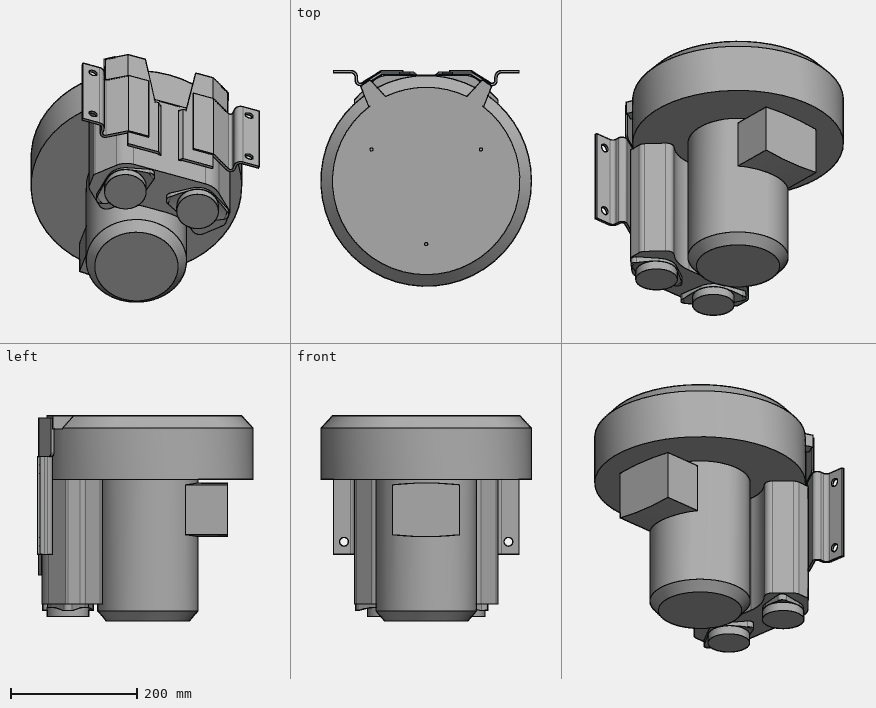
import cadquery as cq
import math

TOTAL_DEPTH = 325.4

COVER_RADIUS = 166.9
COVER_DEPTH = 101.0
COVER_CHAMFER_RADIAL = 18.5
COVER_CHAMFER_DEPTH = 20.0
COVER_HOLE_CIRCLE_RADIUS = 100.0
COVER_HOLE_DIAMETER = 5.0
COVER_HOLE_DEPTH = 10.0
COVER_HOLE_ANGLES = (30, 150, 270)

LUG_OUTLINE = [(64.0, 133.2), (88.7, 160.1), (103.9, 150.0), (90.9, 117.6)]
LUG_DEPTH = 21.0

MOTOR_RADIUS = 79.5
MOTOR_END_RADIUS = 66.0
MOTOR_TAPER_START = 309.5

BOX_HALF_WIDTH = 53.0
BOX_FRONT_Y = -126.5
BOX_MID_DEPTH = 149.2
BOX_CORNER_HALF_HEIGHT = 39.5
BOX_BOW = 3.0

HOUSING_HALF_WIDTH = 113.8
HOUSING_BACK_Y = 167.7
HOUSING_BOTTOM = 298.4
HOUSING_CORNER_REAR_Y = 128.8
HOUSING_CORNER_FRONT_Y = 102.5
HOUSING_REAR_ROUND_X = 60.0
HOUSING_TIP_LOWEST_Y = 71.7
HOUSING_INNER_ROUND_RADIUS = 70.0
HOUSING_REAR_ROUNDING = 5.0
HOUSING_FRONT_ROUNDING = 12.0
HOUSING_TIP_ROUNDING = 13.0

CAP_X = 60.2
CAP_Y = 126.5
CAP_RADIUS = 33.0
CAP_BOTTOM = 318.4
FLANGE_BOTTOM = 308.6
FLANGE_WAIST_RADIUS = 32.5
FLANGE_WAIST_BOTTOM = 304.0
FLANGE_CONE_RADIUS = 47.0
FLANGE_LOBE_CIRCLE_RADIUS = 43.7
FLANGE_LOBE_RADIUS = 8.0
LEFT_FLANGE_ANGLE = 0.0
RIGHT_FLANGE_ANGLE = -47.5

SHEET = 4.0
PLATE_BACK_Y = 172.9
PLATE_TOP = 3.5
PLATE_BOTTOM = 252.7
PLATE_TOP_INNER_X = 42.0
PLATE_WING_ROUNDING = 6.0
PLATE_FOOT_TOP = 115.0
PLATE_FOOT_BEND_X = 26.0
PLATE_FOOT_CORNER_X = 20.4
PLATE_FOOT_END_X = 11.8
PLATE_FOOT_END_Y = 165.5
BEND_X = 71.0
WING_END_X = 102.0
WING_SLOPE = 32.0

BRACKET_BACK_Y = 175.1
BRACKET_TOP = 65.0
BRACKET_BOTTOM = 219.8
BRACKET_INNER_X = 37.0
BRACKET_HALF_WIDTH = 147.2
BRACKET_STEP_X = 108.5
BRACKET_STEP_BEND_RADIUS = 7.0
BRACKET_VALLEY_BEND_RADIUS = 4.0
BRACKET_HOLE_X = 130.2
BRACKET_HOLE_DIAMETER = 13.5
BRACKET_HOLE_EDGE_DISTANCE = 20.0


def prism(outline, top, bottom):
    """Extrude a closed XY outline between two depths below the cover face."""
    return outline.extrude(bottom - top).translate((0, 0, -bottom))


def both_sides(solid):
    """The solid together with its mirror image across the YZ plane."""
    return solid.union(solid.mirror("YZ"))


def fillet_upright_edge(solid, corner, mid_depth, radius):
    """Round the edge parallel to Z that passes through the given XY corner."""
    nearest = cq.selectors.NearestToPointSelector((corner[0], corner[1], -mid_depth))
    return solid.edges("|Z").edges(nearest).fillet(radius)


def make_cover():
    profile = [
        (0, 0),
        (COVER_RADIUS - COVER_CHAMFER_RADIAL, 0),
        (COVER_RADIUS, -COVER_CHAMFER_DEPTH),
        (COVER_RADIUS, -COVER_DEPTH),
        (0, -COVER_DEPTH),
    ]
    cover = cq.Workplane("XZ").polyline(profile).close().revolve(360, (0, 0), (0, 1))
    lug = prism(cq.Workplane("XY").polyline(LUG_OUTLINE).close(), 0, LUG_DEPTH)
    return cover.union(both_sides(lug))


def cut_cover_holes(body):
    for angle in COVER_HOLE_ANGLES:
        x = COVER_HOLE_CIRCLE_RADIUS * math.cos(math.radians(angle))
        y = COVER_HOLE_CIRCLE_RADIUS * math.sin(math.radians(angle))
        hole = cq.Workplane("XY").center(x, y).circle(COVER_HOLE_DIAMETER / 2)
        body = body.cut(prism(hole, 0, COVER_HOLE_DEPTH))
    return body


def make_motor():
    profile = [
        (0, -COVER_DEPTH),
        (MOTOR_RADIUS, -COVER_DEPTH),
        (MOTOR_RADIUS, -MOTOR_TAPER_START),
        (MOTOR_END_RADIUS, -TOTAL_DEPTH),
        (0, -TOTAL_DEPTH),
    ]
    return cq.Workplane("XZ").polyline(profile).close().revolve(360, (0, 0), (0, 1))


def make_terminal_box():
    corner = BOX_CORNER_HALF_HEIGHT
    crown = corner + BOX_BOW
    box = (
        cq.Workplane("XZ")
        .moveTo(-BOX_HALF_WIDTH, corner)
        .threePointArc((0, crown), (BOX_HALF_WIDTH, corner))
        .lineTo(BOX_HALF_WIDTH, -corner)
        .threePointArc((0, -crown), (-BOX_HALF_WIDTH, -corner))
        .close()
        .extrude(-BOX_FRONT_Y)
    )
    return box.translate((0, 0, -BOX_MID_DEPTH))


def make_housing():
    half = HOUSING_HALF_WIDTH
    flank_sum = half + HOUSING_CORNER_REAR_Y
    rise = flank_sum - HOUSING_REAR_ROUND_X - HOUSING_BACK_Y
    round_radius = rise / (math.sqrt(2) - 1)
    round_y = HOUSING_BACK_Y - round_radius
    diagonal = round_radius * math.sqrt(0.5)
    arc_end = (HOUSING_REAR_ROUND_X + diagonal, round_y + diagonal)
    half_of_eighth_turn = math.pi / 8
    arc_mid = (
        HOUSING_REAR_ROUND_X + round_radius * math.sin(half_of_eighth_turn),
        round_y + round_radius * math.cos(half_of_eighth_turn),
    )
    tip_radius = HOUSING_TIP_ROUNDING
    tip_diagonal = tip_radius * math.sqrt(0.5)
    tip_y = HOUSING_TIP_LOWEST_Y + tip_radius
    tip_x = half - HOUSING_CORNER_FRONT_Y + tip_y - 2 * tip_diagonal
    tip_start = (tip_x + tip_diagonal, tip_y - tip_diagonal)
    tip_end = (tip_x - tip_diagonal, tip_y - tip_diagonal)
    inner_radius = HOUSING_INNER_ROUND_RADIUS
    inner_diagonal = inner_radius * math.sqrt(0.5)
    inner_x = tip_end[0] - inner_diagonal
    inner_y = tip_end[1] - inner_diagonal
    inner_mid = (
        inner_x + inner_radius * math.sin(half_of_eighth_turn),
        inner_y + inner_radius * math.cos(half_of_eighth_turn),
    )
    inner_end = (inner_x, inner_y + inner_radius)
    outline = (
        cq.Workplane("XY")
        .moveTo(0, HOUSING_BACK_Y)
        .lineTo(HOUSING_REAR_ROUND_X, HOUSING_BACK_Y)
        .threePointArc(arc_mid, arc_end)
        .lineTo(half, HOUSING_CORNER_REAR_Y)
        .lineTo(half, HOUSING_CORNER_FRONT_Y)
        .lineTo(*tip_start)
        .threePointArc((tip_x, HOUSING_TIP_LOWEST_Y), tip_end)
        .threePointArc(inner_mid, inner_end)
        .lineTo(0, inner_end[1])
        .close()
    )
    side = prism(outline, COVER_DEPTH, HOUSING_BOTTOM)
    mid_depth = (COVER_DEPTH + HOUSING_BOTTOM) / 2
    rear_corner = (half, HOUSING_CORNER_REAR_Y)
    front_corner = (half, HOUSING_CORNER_FRONT_Y)
    side = fillet_upright_edge(side, rear_corner, mid_depth, HOUSING_REAR_ROUNDING)
    side = fillet_upright_edge(side, front_corner, mid_depth, HOUSING_FRONT_ROUNDING)
    return both_sides(side)


def make_cap(flange_angle):
    """Silencer cap centred on the Z axis: two-lobed flange and round end."""
    tangent_angle = math.acos((FLANGE_WAIST_RADIUS - FLANGE_LOBE_RADIUS) / FLANGE_LOBE_CIRCLE_RADIUS)
    normal_x = math.cos(tangent_angle)
    normal_y = math.sin(tangent_angle)
    lobe_x = FLANGE_LOBE_CIRCLE_RADIUS + FLANGE_LOBE_RADIUS * normal_x
    lobe_y = FLANGE_LOBE_RADIUS * normal_y
    lobe_tip_x = FLANGE_LOBE_CIRCLE_RADIUS + FLANGE_LOBE_RADIUS
    waist_x = FLANGE_WAIST_RADIUS * normal_x
    waist_y = FLANGE_WAIST_RADIUS * normal_y
    flange_outline = (
        cq.Workplane("XY")
        .moveTo(lobe_x, -lobe_y)
        .threePointArc((lobe_tip_x, 0), (lobe_x, lobe_y))
        .lineTo(waist_x, waist_y)
        .threePointArc((0, FLANGE_WAIST_RADIUS), (-waist_x, waist_y))
        .lineTo(-lobe_x, lobe_y)
        .threePointArc((-lobe_tip_x, 0), (-lobe_x, -lobe_y))
        .lineTo(-waist_x, -waist_y)
        .threePointArc((0, -FLANGE_WAIST_RADIUS), (waist_x, -waist_y))
        .close()
    )
    flange = prism(flange_outline, HOUSING_BOTTOM, FLANGE_BOTTOM)
    relief_profile = [
        (0, -FLANGE_WAIST_BOTTOM),
        (CAP_RADIUS, -FLANGE_WAIST_BOTTOM),
        (FLANGE_CONE_RADIUS, -FLANGE_BOTTOM),
        (0, -FLANGE_BOTTOM),
    ]
    relief = cq.Workplane("XZ").polyline(relief_profile).close().revolve(360, (0, 0), (0, 1))
    flange = flange.cut(relief).rotate((0, 0, 0), (0, 0, 1), flange_angle)
    end = prism(cq.Workplane("XY").circle(CAP_RADIUS), FLANGE_WAIST_BOTTOM, CAP_BOTTOM)
    return flange.union(end)


def wing_y(x, back_y):
    """Y of the sloping wing's back face at x, for a sheet whose flat back lies at back_y."""
    return back_y - (x - BEND_X) * math.tan(math.radians(WING_SLOPE))


def wing_front_y(x, back_y):
    """Y of the sloping wing's front face at x, one sheet thickness inside the back face."""
    return wing_y(x, back_y) - SHEET / math.cos(math.radians(WING_SLOPE))


def front_bend_x():
    """X where the front faces of the flat and the wing meet."""
    return BEND_X - SHEET * math.tan(math.radians(WING_SLOPE / 2))


def make_back_plate():
    front_y = PLATE_BACK_Y - SHEET
    flat_outline = [
        (BEND_X, -PLATE_TOP),
        (PLATE_TOP_INNER_X, -PLATE_TOP),
        (PLATE_FOOT_BEND_X, -PLATE_FOOT_TOP),
        (PLATE_FOOT_BEND_X, -PLATE_BOTTOM),
        (BEND_X, -PLATE_BOTTOM),
    ]
    flat = cq.Workplane("XZ").polyline(flat_outline).close().extrude(SHEET)
    flat = flat.translate((0, PLATE_BACK_Y, 0))
    wing_outline = [
        (front_bend_x(), front_y),
        (front_bend_x(), PLATE_BACK_Y),
        (BEND_X, PLATE_BACK_Y),
        (WING_END_X, wing_y(WING_END_X, PLATE_BACK_Y)),
        (WING_END_X, wing_front_y(WING_END_X, PLATE_BACK_Y)),
    ]
    wing = prism(cq.Workplane("XY").polyline(wing_outline).close(), PLATE_TOP, BRACKET_TOP)
    wing = wing.faces(">X").edges("<Z").fillet(PLATE_WING_ROUNDING)
    foot_outline = [
        (PLATE_FOOT_END_X, PLATE_FOOT_END_Y),
        (PLATE_FOOT_CORNER_X, PLATE_BACK_Y),
        (PLATE_FOOT_BEND_X, PLATE_BACK_Y),
        (PLATE_FOOT_BEND_X, front_y),
        (PLATE_FOOT_CORNER_X, front_y),
        (PLATE_FOOT_END_X, PLATE_FOOT_END_Y - SHEET),
    ]
    foot = prism(cq.Workplane("XY").polyline(foot_outline).close(), PLATE_FOOT_TOP, PLATE_BOTTOM)
    return flat.union(wing).union(foot)


def make_bracket():
    inside_x = BRACKET_STEP_X
    outside_x = BRACKET_STEP_X + SHEET
    flat_front_y = BRACKET_BACK_Y - SHEET
    valley_inside = (inside_x, wing_y(inside_x, BRACKET_BACK_Y))
    valley_outside = (outside_x, wing_front_y(outside_x, BRACKET_BACK_Y))
    step_outside = (inside_x, BRACKET_BACK_Y)
    step_inside = (outside_x, flat_front_y)
    outline = [
        (BRACKET_INNER_X, BRACKET_BACK_Y),
        (BEND_X, BRACKET_BACK_Y),
        valley_inside,
        step_outside,
        (BRACKET_HALF_WIDTH, BRACKET_BACK_Y),
        (BRACKET_HALF_WIDTH, flat_front_y),
        step_inside,
        valley_outside,
        (front_bend_x(), flat_front_y),
        (BRACKET_INNER_X, flat_front_y),
    ]
    bracket = prism(cq.Workplane("XY").polyline(outline).close(), BRACKET_TOP, BRACKET_BOTTOM)
    bends = [
        (valley_inside, BRACKET_VALLEY_BEND_RADIUS),
        (valley_outside, BRACKET_VALLEY_BEND_RADIUS + SHEET),
        (step_inside, BRACKET_STEP_BEND_RADIUS),
        (step_outside, BRACKET_STEP_BEND_RADIUS + SHEET),
    ]
    for corner, radius in bends:
        bracket = fillet_upright_edge(bracket, corner, (BRACKET_TOP + BRACKET_BOTTOM) / 2, radius)
    hole_depths = (
        BRACKET_TOP + BRACKET_HOLE_EDGE_DISTANCE,
        BRACKET_BOTTOM - BRACKET_HOLE_EDGE_DISTANCE,
    )
    for depth in hole_depths:
        hole = cq.Workplane("XZ").center(BRACKET_HOLE_X, -depth).circle(BRACKET_HOLE_DIAMETER / 2)
        bracket = bracket.cut(hole.extrude(-BRACKET_BACK_Y))
    return bracket


result = make_cover()
result = result.union(make_motor())
result = result.union(make_terminal_box())
result = result.union(make_housing())
result = result.union(make_cap(LEFT_FLANGE_ANGLE).translate((-CAP_X, CAP_Y, 0)))
result = result.union(make_cap(RIGHT_FLANGE_ANGLE).translate((CAP_X, CAP_Y, 0)))
result = result.union(both_sides(make_back_plate().union(make_bracket())))
result = cut_cover_holes(result)